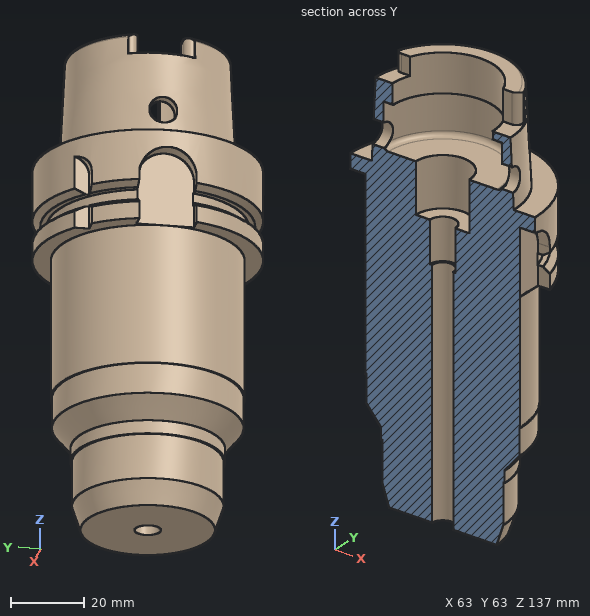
import cadquery as cq
import math

TOTAL_HEIGHT = 137.0
NOSE_CONE_TOP = 7.0
NOSE_STEP = 20.0
SHOULDER_BOTTOM = 23.8
SHOULDER_TOP = 29.9
BODY_STEP = 38.6
FLANGE_BOTTOM = 79.0
FLANGE_TOP = 105.1

NOSE_TIP_RADIUS = 18.4
NOSE_RADIUS = 20.7
NECK_RADIUS = 21.1
LOWER_BODY_RADIUS = 26.2
BODY_RADIUS = 26.5
FLANGE_RADIUS = 31.5
SHANK_BASE_RADIUS = 24.2
SHANK_TOP_RADIUS = 22.6
SHANK_ROUND = 1.0

GROOVE_HEIGHT = 87.3
GROOVE_RADIUS = 27.5
GROOVE_WALL_RADIUS = 29.3
GROOVE_HALF_WIDTH = 1.8
GROOVE_MOUTH_HALF_WIDTH = 3.3

BORE_RADIUS = 17.0
UNDERCUT_RADIUS = 20.1
UNDERCUT_TOP = 124.4
CAVITY_FLOOR = 109.6
CAVITY_FILLET = 1.6
TUBE_SEAT_RADIUS = 9.0
TUBE_SEAT_FLOOR = 93.2
FEED_RADIUS = 4.2
FEED_FLOOR = 79.5
COOLANT_RADIUS = 3.5

DRIVE_SLOT_WIDTH = 12.6
SHALLOW_SLOT_DEPTH = 5.9
DEEP_SLOT_DEPTH = 10.0
DRIVE_SLOT_ROUND = 2.0

ACCESS_RADIUS = 3.8
ACCESS_HEIGHT = 114.1

POCKET_TOP = 100.1
KEYWAY_RADIUS = 8.0
NOTCH_RADIUS = 5.6
NOTCH_NEAR_EDGE = 20.0
NOTCH_FLOOR = 20.4


def outer_body():
    """Revolve the outside of the holder as one solid."""
    groove_outline = [
        (FLANGE_RADIUS, GROOVE_HEIGHT - GROOVE_MOUTH_HALF_WIDTH),
        (GROOVE_WALL_RADIUS, GROOVE_HEIGHT - GROOVE_HALF_WIDTH),
        (GROOVE_RADIUS, GROOVE_HEIGHT - GROOVE_HALF_WIDTH),
        (GROOVE_RADIUS, GROOVE_HEIGHT + GROOVE_HALF_WIDTH),
        (GROOVE_WALL_RADIUS, GROOVE_HEIGHT + GROOVE_HALF_WIDTH),
        (FLANGE_RADIUS, GROOVE_HEIGHT + GROOVE_MOUTH_HALF_WIDTH),
    ]
    outline = [
        (0, 0),
        (NOSE_TIP_RADIUS, 0),
        (NOSE_RADIUS, NOSE_CONE_TOP),
        (NOSE_RADIUS, NOSE_STEP),
        (NECK_RADIUS, NOSE_STEP),
        (NECK_RADIUS, SHOULDER_BOTTOM),
        (LOWER_BODY_RADIUS, SHOULDER_TOP),
        (LOWER_BODY_RADIUS, BODY_STEP),
        (BODY_RADIUS, BODY_STEP),
        (BODY_RADIUS, FLANGE_BOTTOM),
        (FLANGE_RADIUS, FLANGE_BOTTOM),
        *groove_outline,
        (FLANGE_RADIUS, FLANGE_TOP),
        (SHANK_BASE_RADIUS, FLANGE_TOP),
        (SHANK_TOP_RADIUS, TOTAL_HEIGHT),
        (0, TOTAL_HEIGHT),
    ]
    body = cq.Workplane("XZ").polyline(outline).close().revolve(360, (0, 0), (0, 1))
    return body.faces(">Z").edges().fillet(SHANK_ROUND)


def axial_cylinder(radius, bottom, top):
    """Cylinder on the Z axis between two heights."""
    return cq.Workplane("XY").workplane(offset=bottom).circle(radius).extrude(top - bottom)


def inner_cavity():
    """Shank bore, filleted undercut and the stepped coolant passage."""
    undercut = axial_cylinder(UNDERCUT_RADIUS, CAVITY_FLOOR, UNDERCUT_TOP)
    cavity = undercut.faces("<Z").edges().fillet(CAVITY_FILLET)
    cavity = cavity.union(axial_cylinder(BORE_RADIUS, CAVITY_FLOOR, TOTAL_HEIGHT))
    cavity = cavity.union(axial_cylinder(TUBE_SEAT_RADIUS, TUBE_SEAT_FLOOR, TOTAL_HEIGHT))
    cavity = cavity.union(axial_cylinder(FEED_RADIUS, FEED_FLOOR, TOTAL_HEIGHT))
    return cavity.union(axial_cylinder(COOLANT_RADIUS, 0, TOTAL_HEIGHT))


def drive_slot(side, depth):
    """Slot through the rim on one side (-1 or +1 along X), its outer corners rounded into the cone."""
    half_width = DRIVE_SLOT_WIDTH / 2

    arc_y = half_width + DRIVE_SLOT_ROUND
    arc_distance = SHANK_TOP_RADIUS - DRIVE_SLOT_ROUND
    arc_x = math.sqrt(arc_distance**2 - arc_y**2)
    cos_out = arc_x / arc_distance
    sin_out = arc_y / arc_distance
    mid_angle = (math.asin(sin_out) - math.pi / 2) / 2
    mid_x = arc_x + DRIVE_SLOT_ROUND * math.cos(mid_angle)
    mid_y = arc_y + DRIVE_SLOT_ROUND * math.sin(mid_angle)
    end_x = SHANK_TOP_RADIUS * cos_out
    end_y = SHANK_TOP_RADIUS * sin_out
    clear_x = FLANGE_RADIUS * cos_out
    clear_y = FLANGE_RADIUS * sin_out

    slot = (
        cq.Workplane("XY")
        .workplane(offset=TOTAL_HEIGHT - depth)
        .moveTo(0, -half_width)
        .lineTo(arc_x, -half_width)
        .threePointArc((mid_x, -mid_y), (end_x, -end_y))
        .lineTo(clear_x, -clear_y)
        .lineTo(clear_x, clear_y)
        .lineTo(end_x, end_y)
        .threePointArc((mid_x, mid_y), (arc_x, half_width))
        .lineTo(0, half_width)
        .close()
        .extrude(depth)
    )
    return slot if side > 0 else slot.mirror("YZ")


def flange_pocket(side, center_y, radius, floor_distance):
    """Round-topped pocket open at the flange underside, with a flat floor square to X."""
    arch_height = POCKET_TOP - radius
    depth = FLANGE_RADIUS - floor_distance
    pocket = (
        cq.Workplane("YZ")
        .workplane(offset=floor_distance)
        .moveTo(center_y - radius, FLANGE_BOTTOM)
        .lineTo(center_y - radius, arch_height)
        .threePointArc((center_y, POCKET_TOP), (center_y + radius, arch_height))
        .lineTo(center_y + radius, FLANGE_BOTTOM)
        .close()
        .extrude(depth)
    )
    return pocket if side > 0 else pocket.mirror("YZ")


result = outer_body()

for slot_side, slot_depth in ((-1, SHALLOW_SLOT_DEPTH), (1, DEEP_SLOT_DEPTH)):
    result = result.cut(drive_slot(slot_side, slot_depth))

result = result.cut(inner_cavity())

access_hole = (
    cq.Workplane("YZ")
    .center(0, ACCESS_HEIGHT)
    .circle(ACCESS_RADIUS)
    .extrude(FLANGE_RADIUS, both=True)
)
result = result.cut(access_hole)

for keyway_side in (-1, 1):
    result = result.cut(flange_pocket(keyway_side, 0, KEYWAY_RADIUS, BODY_RADIUS))

result = result.cut(flange_pocket(-1, NOTCH_NEAR_EDGE + NOTCH_RADIUS, NOTCH_RADIUS, NOTCH_FLOOR))